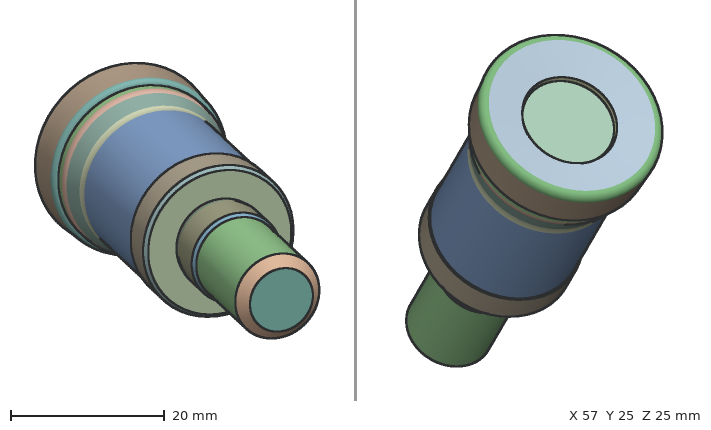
import cadquery as cq
import math

overall_length = 57.0

cap_length = 6.6
cap_lip_diameter = 25.0
cap_lip_round = 1.0
cap_lip_inner_radius = 11.3
cap_taper_end_x = 5.85
cap_taper_end_radius = 12.25
cap_back_radius = 11.55
dish_depth = 1.2
dish_bottom_radius = 6.45
cap_bore_radius = 6.2

shoulder_radius = 11.5
shoulder_end_x = 8.0
flare_start_x = 8.95
flare_start_radius = 11.25
flare_end_x = 11.55
flare_end_radius = 10.45
barrel_start_x = 12.95
barrel_radius = 20.6 / 2

flange_start_x = 29.9
flange_end_x = 34.9
flange_radius = 21.0 / 2
flange_chamfer = 0.5

relief_radius = 12.1 / 2
relief_end_x = 35.4
collar_radius = 12.5 / 2
collar_start_x = 36.1
collar_end_x = 40.85
stud_radius = 11.75 / 2
stud_start_x = 41.55
tip_chamfer = 1.5

floor_x = 1.8


def revolve_about_x(profile):
    """Turn a closed (x, radius) profile a full circle about the X axis."""
    return profile.close().revolve(360, (0, 0, 0), (1, 0, 0))


def make_cap():
    lip_radius = cap_lip_diameter / 2
    lip_crest_radius = lip_radius - cap_lip_round
    crest_offset = lip_crest_radius - cap_lip_inner_radius
    dish_start_x = cap_lip_round - math.sqrt(cap_lip_round**2 - crest_offset**2)
    profile = (
        cq.Workplane("XY")
        .moveTo(floor_x, cap_bore_radius)
        .lineTo(dish_depth, dish_bottom_radius)
        .lineTo(dish_start_x, cap_lip_inner_radius)
        .threePointArc((0, lip_crest_radius), (cap_lip_round, lip_radius))
        .lineTo(cap_taper_end_x, cap_taper_end_radius)
        .tangentArcPoint((cap_length, cap_back_radius), relative=False)
        .lineTo(cap_length, cap_bore_radius)
    )
    return revolve_about_x(profile)


def make_body():
    profile = (
        cq.Workplane("XY")
        .moveTo(floor_x, 0)
        .lineTo(floor_x, cap_bore_radius)
        .lineTo(cap_length, cap_bore_radius)
        .lineTo(cap_length, shoulder_radius)
        .lineTo(shoulder_end_x, shoulder_radius)
        .tangentArcPoint((flare_start_x, flare_start_radius), relative=False)
        .lineTo(flare_end_x, flare_end_radius)
        .tangentArcPoint((barrel_start_x, barrel_radius), relative=False)
        .lineTo(flange_start_x, barrel_radius)
        .lineTo(flange_start_x, flange_radius)
        .lineTo(flange_end_x - flange_chamfer, flange_radius)
        .lineTo(flange_end_x, flange_radius - flange_chamfer)
        .lineTo(flange_end_x, relief_radius)
        .lineTo(relief_end_x, relief_radius)
        .lineTo(collar_start_x, collar_radius)
        .lineTo(collar_end_x, collar_radius)
        .lineTo(stud_start_x, stud_radius)
        .lineTo(overall_length - tip_chamfer, stud_radius)
        .lineTo(overall_length, stud_radius - tip_chamfer)
        .lineTo(overall_length, 0)
    )
    return revolve_about_x(profile)


cap = make_cap()
body = make_body()

result = cq.Compound.makeCompound([cap.val(), body.val()])